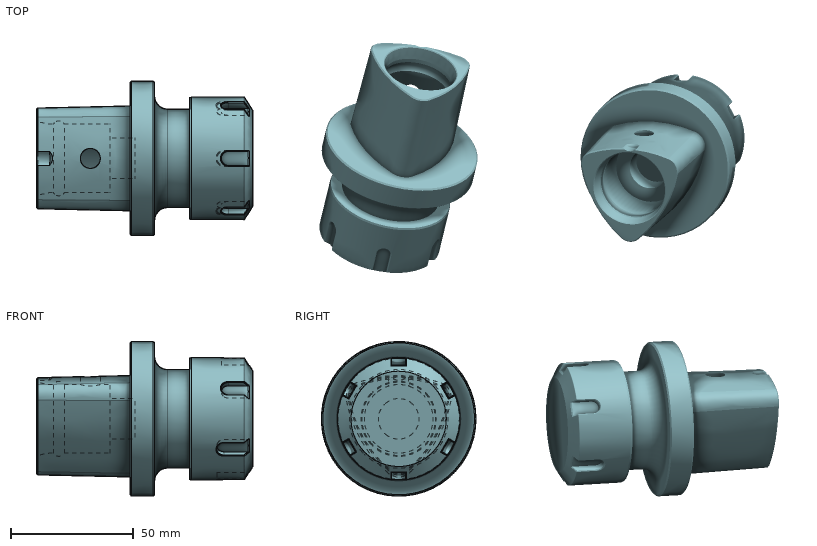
import cadquery as cq
import math


shank_length = 38.1
shank_chamfer = 0.5
taper_slope = 0.0222
taper_angle = math.degrees(math.atan(taper_slope))
lobe_count = 3
lobe_reach = 22.85
flank_reach = 16.8
lobe_radius = 5.6

mouth_radius = 14.95
mouth_chamfer = 0.35
mouth_depth = 5.2
bore_radius = 27.94 / 2
land_length = 1.7
bore_depth = 30.0
groove_width = 4.4
groove_depth = 1.3
screw_hole_diameter = 16.51
screw_hole_depth = 10.0

side_hole_diameter = 8.13
side_hole_distance = 21.9
notch_radius = 8.13 / 2
notch_floor_height = 15.6
notch_length = 5.3

flange_radius = 62.99 / 2
flange_thickness = 10.0
flange_chamfer = 0.6
neck_radius = 40.18 / 2
neck_fillet = 5.2

nut_start = 24.25
nut_end = 50.0
nut_radius = 49.99 / 2
nut_rear_chamfer_length = 0.8
nut_rear_chamfer_height = 0.3
cone_start = 46.5
cone_edge_radius = 0.4
cone_end_radius = 19.4

slot_count = 6
slot_width = 5.7
slot_floor_radius = 21.9
short_slot_start = 37.1
long_slot_start = 35.3
slot_rim_chamfer = 0.35

rear_end = -shank_length


def trilobe(workplane):
    """Closed outline of tangent lobe and flank arcs, with one lobe pointing down."""
    lobe_center = lobe_reach - lobe_radius
    lobe_to_flank = math.radians(180 / lobe_count)
    drop = lobe_center * math.cos(lobe_to_flank) - flank_reach
    half_span = lobe_center * math.sin(lobe_to_flank)
    flank_radius = (lobe_radius**2 - half_span**2 - drop**2) / (2 * (drop + lobe_radius))
    flank_half_angle = math.degrees(math.asin(half_span / (flank_radius - lobe_radius)))

    def polar(radius, angle):
        return (radius * math.cos(math.radians(angle)), radius * math.sin(math.radians(angle)))

    def flank_end(flank_angle, side):
        base_x, base_y = polar(flank_reach - flank_radius, flank_angle)
        arm_x, arm_y = polar(flank_radius, flank_angle + side * flank_half_angle)
        return (base_x + arm_x, base_y + arm_y)

    pitch = 360 / lobe_count
    top_flank = 90
    outline = workplane.moveTo(*flank_end(top_flank, -1))
    for index in range(lobe_count):
        flank_angle = top_flank + index * pitch
        lobe_angle = flank_angle + pitch / 2
        outline = outline.threePointArc(polar(flank_reach, flank_angle), flank_end(flank_angle, 1))
        outline = outline.threePointArc(
            polar(lobe_reach, lobe_angle), flank_end(flank_angle + pitch, -1)
        )
    return outline.close()


def make_shank():
    section = trilobe(cq.Workplane("YZ", origin=(rear_end, 0, 0)))
    shank = section.extrude(shank_length, taper=-taper_angle)
    return shank.faces("<X").chamfer(shank_chamfer)


def make_flange_and_neck():
    flange_front = flange_thickness
    fillet_mid = neck_fillet * (1 - math.sqrt(0.5))
    profile = (
        cq.Workplane("XY")
        .lineTo(0, flange_radius - flange_chamfer)
        .lineTo(flange_chamfer, flange_radius)
        .lineTo(flange_front - flange_chamfer, flange_radius)
        .lineTo(flange_front, flange_radius - flange_chamfer)
        .lineTo(flange_front, neck_radius + neck_fillet)
        .threePointArc(
            (flange_front + fillet_mid, neck_radius + fillet_mid),
            (flange_front + neck_fillet, neck_radius),
        )
        .lineTo(nut_start, neck_radius)
        .lineTo(nut_start, 0)
        .close()
    )
    return profile.revolve(360, (0, 0, 0), (1, 0, 0))


def make_bore():
    """Stepped bore with a tapered mouth and a round undercut groove."""
    groove_start = mouth_depth + land_length
    groove_end = groove_start + groove_width
    screw_hole_end = bore_depth + screw_hole_depth
    screw_hole_radius = screw_hole_diameter / 2
    profile = (
        cq.Workplane("XY", origin=(rear_end, 0, 0))
        .moveTo(0, 0)
        .lineTo(0, mouth_radius + mouth_chamfer)
        .lineTo(mouth_chamfer, mouth_radius)
        .lineTo(mouth_depth, bore_radius)
        .lineTo(groove_start, bore_radius)
        .threePointArc(
            (groove_start + groove_width / 2, bore_radius + groove_depth),
            (groove_end, bore_radius),
        )
        .lineTo(bore_depth, bore_radius)
        .lineTo(bore_depth, screw_hole_radius)
        .lineTo(screw_hole_end, screw_hole_radius)
        .lineTo(screw_hole_end, 0)
        .close()
    )
    return profile.revolve(360, (0, 0, 0), (1, 0, 0))


def make_side_hole():
    return (
        cq.Workplane("XY", origin=(rear_end + side_hole_distance, 0, 0))
        .circle(side_hole_diameter / 2)
        .extrude(lobe_reach)
    )


def make_notch():
    """Round-bottomed key notch with a 90 degree conical end, parallel to the flank."""
    axis_height = notch_floor_height + notch_radius
    overrun = 1.0
    profile = (
        cq.Workplane("XY", origin=(rear_end, 0, axis_height))
        .moveTo(-overrun, 0)
        .lineTo(-overrun, notch_radius)
        .lineTo(notch_length, notch_radius)
        .lineTo(notch_length + notch_radius, 0)
        .close()
    )
    notch = profile.revolve(360, (0, 0, 0), (1, 0, 0))
    return notch.rotate((rear_end, 0, axis_height), (rear_end, 1, axis_height), -taper_angle)


def make_holder():
    blank = make_shank().union(make_flange_and_neck())
    return blank.cut(make_bore()).cut(make_side_hole()).cut(make_notch())


def make_slot(start, angle):
    """Cutter for a slot that is round at its rear and open at the cone."""
    half_width = slot_width / 2
    outline = (
        cq.Workplane("XY", origin=(0, 0, slot_floor_radius))
        .moveTo(nut_end, half_width)
        .lineTo(start + half_width, half_width)
        .threePointArc((start, 0), (start + half_width, -half_width))
        .lineTo(nut_end, -half_width)
        .close()
    )
    return outline.extrude(nut_radius).rotate((0, 0, 0), (1, 0, 0), angle)


def nut_profile_radius(x):
    """Outer radius of the nut at x, in front of its rear chamfer."""
    cone_slope = (nut_radius - cone_end_radius) / (nut_end - cone_start)
    return nut_radius - cone_slope * max(0, x - cone_start)


def is_slot_rim(edge):
    """True for the edges where a slot breaks through the outside of the nut."""
    tolerance = 0.001
    edge_break = cone_edge_radius / 2
    ends = (edge.startPoint(), edge.endPoint())
    on_outside = all(
        abs(math.hypot(p.y, p.z) - nut_profile_radius(p.x)) < edge_break for p in ends
    )
    rear_limit = nut_start + nut_rear_chamfer_length + tolerance
    away_from_ends = all(rear_limit < p.x < nut_end - tolerance for p in ends)
    along_cone_edge = (
        all(abs(p.x - cone_start) < cone_edge_radius for p in ends)
        and abs(ends[0].x - ends[1].x) < tolerance
    )
    return on_outside and away_from_ends and not along_cone_edge


def make_nut():
    profile = (
        cq.Workplane("XY")
        .moveTo(nut_start, 0)
        .lineTo(nut_start, nut_radius - nut_rear_chamfer_height)
        .lineTo(nut_start + nut_rear_chamfer_length, nut_radius)
        .lineTo(cone_start, nut_radius)
        .lineTo(nut_end, cone_end_radius)
        .lineTo(nut_end, 0)
        .close()
    )
    nut = profile.revolve(360, (0, 0, 0), (1, 0, 0))
    cone_edge = cq.selectors.BoxSelector(
        (cone_start - cone_edge_radius, -nut_radius, -nut_radius),
        (cone_start + cone_edge_radius, nut_radius, nut_radius),
    )
    nut = nut.edges("%CIRCLE").edges(cone_edge).fillet(cone_edge_radius)
    for index in range(slot_count):
        angle = index * 360 / slot_count
        start = long_slot_start if math.cos(math.radians(angle)) < 0 else short_slot_start
        nut = nut.cut(make_slot(start, angle))
    rims = nut.edges().filter(is_slot_rim)
    return nut.newObject(rims.vals()).chamfer(slot_rim_chamfer)


holder = make_holder()
nut = make_nut()
result = cq.Compound.makeCompound([holder.val(), nut.val()])